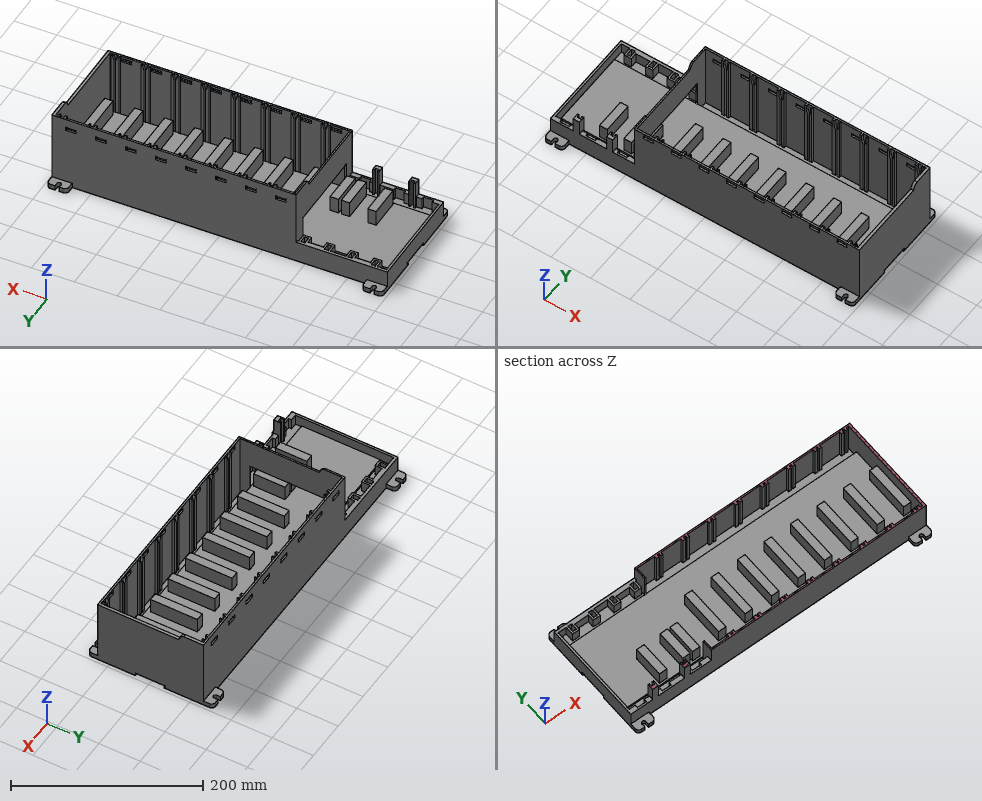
import cadquery as cq

LENGTH = 392.0
BODY_WIDTH = 128.5
HALF_WIDTH = BODY_WIDTH / 2
LOW_HEIGHT = 25.0
FRONT_HEIGHT = 81.5
BACK_HEIGHT = 89.0
TALL_START = 106.5

LOW_FLOOR = 11.8
TALL_FLOOR = 1.0
LEFT_WALL = 2.7
RIGHT_WALL = 3.5
TALL_SIDE_WALL = 2.5
DIVIDER = 2.0
LOW_BACK_WALL = 3.5
LOW_FRONT_WALL = 6.0

BOARD_TOP = 14.5
BOARD_START = 4.0
BOARD_END = 387.2
BOARD_FRONT = -50.0
BOARD_BACK = 46.5

STEP_CREST = 40.5
STEP_FOOT = 34.0
STEP_BULGE = 0.98

OPENING_BACK = 48.0
OPENING_TOP = 46.2

CONNECTOR_TOP = 33.0
CONNECTOR_WIDTH = 9.8
MODULE_COUNT = 8
MODULE_SPAN = 245.5
MODULE_PITCH = MODULE_SPAN / (MODULE_COUNT - 1)
MODULE_START = 131.3
MODULE_CONNECTOR_FRONT = -45.5
MODULE_CONNECTOR_BACK = 11.5
LOW_CONNECTOR_STARTS = (51.0, 82.0, 95.0)
LOW_CONNECTOR_FRONT = -48.0
LOW_CONNECTOR_BACK = -9.8

GUIDE_DEPTH = 3.0
LEFT_GUIDE_WIDTH = 4.0
LEFT_GUIDE_TIP = 2.5
GUIDE_PAIR_WIDTH = 9.0
RIGHT_GUIDE_WIDTH = 3.0
RIGHT_GUIDE_TIP = 1.5
LEAD_IN_BOTTOM = 75.5
LEAD_IN_TOP = 80.7
LATCH_OFFSET = -13.0
LATCH_LENGTH = 12.0
LATCH_BOTTOM = 74.5
LATCH_TOP = 78.5

HOOK_COUNT = 4
HOOK_START = 13.5
HOOK_PITCH = 27.5
HOOK_WIDTH = 9.5
HOOK_FRONT = 50.0
HOOK_WALL = 2.5
THICK_WALL_FACE = 58.5

POST_STARTS = (29.0, 71.5)
POST_WIDTH = 8.0
POST_TOP = 44.5
POST_BACK = -56.0
POST_GROOVE_WIDTH = 4.0
POST_GROOVE_DEPTH = 3.5
RECESS_STARTS = (10.5, 43.5, 83.5)
RECESS_LENGTH = 11.8
RECESS_DEPTH = 3.5

TOTAL_WIDTH = 152.0
TAB_LENGTH = 24.0
TAB_HEIGHT = 6.0
TAB_ROUND = 4.7
TAB_SLOT_WIDTH = 4.7
TAB_SLOT_DEPTH = 7.0
TAB_SLOT_CENTRE = 11.8

RAIL_FRONT = -18.5
RAIL_BACK = 17.5
RAIL_DEPTH = 3.5
RAIL_LIP_WIDTH = 1.5
RAIL_LIP_HEIGHT = 1.0


def box(x0, x1, y0, y1, z0, z1):
    """Box between two opposite corners."""
    return cq.Workplane("XY").box(x1 - x0, y1 - y0, z1 - z0, centered=False).translate((x0, y0, z0))


def low_bay():
    """Open tray on the left, with the floor left solid."""
    outer = box(0, TALL_START, -HALF_WIDTH, HALF_WIDTH, 0, LOW_HEIGHT)
    cavity = box(
        LEFT_WALL, TALL_START,
        -HALF_WIDTH + LOW_FRONT_WALL, HALF_WIDTH - LOW_BACK_WALL,
        LOW_FLOOR, LOW_HEIGHT,
    )
    return outer.cut(cavity)


def tall_bay():
    """Deep tray on the right, whose end walls step down toward the front."""
    bulge_point = (
        (STEP_CREST + STEP_FOOT) / 2 - STEP_BULGE,
        (BACK_HEIGHT + FRONT_HEIGHT) / 2 + STEP_BULGE,
    )
    outer = (
        cq.Workplane("YZ", origin=(TALL_START, 0, 0))
        .moveTo(-HALF_WIDTH, 0)
        .lineTo(HALF_WIDTH, 0)
        .lineTo(HALF_WIDTH, BACK_HEIGHT)
        .lineTo(STEP_CREST, BACK_HEIGHT)
        .threePointArc(bulge_point, (STEP_FOOT, FRONT_HEIGHT))
        .lineTo(-HALF_WIDTH, FRONT_HEIGHT)
        .close()
        .extrude(LENGTH - TALL_START)
    )
    inner_half = HALF_WIDTH - TALL_SIDE_WALL
    cavity = box(
        TALL_START + DIVIDER, LENGTH - RIGHT_WALL, -inner_half, inner_half, TALL_FLOOR, BACK_HEIGHT
    )
    opening = box(
        TALL_START, TALL_START + DIVIDER, BOARD_FRONT, OPENING_BACK, BOARD_TOP, OPENING_TOP
    )
    return outer.cut(cavity).cut(opening)


def board():
    """Raised board with the connectors of both bays."""
    plate = box(BOARD_START, BOARD_END, BOARD_FRONT, BOARD_BACK, TALL_FLOOR, BOARD_TOP)
    for start in LOW_CONNECTOR_STARTS:
        plate = plate.union(box(
            start, start + CONNECTOR_WIDTH,
            LOW_CONNECTOR_FRONT, LOW_CONNECTOR_BACK, BOARD_TOP, CONNECTOR_TOP,
        ))
    for start in module_starts():
        plate = plate.union(box(
            start, start + CONNECTOR_WIDTH,
            MODULE_CONNECTOR_FRONT, MODULE_CONNECTOR_BACK, BOARD_TOP, CONNECTOR_TOP,
        ))
    return plate


def module_starts():
    return [MODULE_START + i * MODULE_PITCH for i in range(MODULE_COUNT)]


def guide(outer_x, inner_x, tip_x, y0, top):
    """Wall guide whose inner side steps back to tip_x above a slanted lead-in."""
    return (
        cq.Workplane("XZ", origin=(0, y0, 0))
        .polyline([
            (outer_x, TALL_FLOOR),
            (inner_x, TALL_FLOOR),
            (inner_x, LEAD_IN_BOTTOM),
            (tip_x, LEAD_IN_TOP),
            (tip_x, top),
            (outer_x, top),
        ])
        .close()
        .extrude(-GUIDE_DEPTH)
    )


def guide_pair(start, y0, top):
    """Two guides that form a groove with a funnel-shaped mouth."""
    end = start + GUIDE_PAIR_WIDTH
    left = guide(start, start + LEFT_GUIDE_WIDTH, start + LEFT_GUIDE_TIP, y0, top)
    right = guide(end, end - RIGHT_GUIDE_WIDTH, end - RIGHT_GUIDE_TIP, y0, top)
    return left.union(right)


def hook(start):
    """Hollow hook standing on the floor against the back wall."""
    wall_face = HALF_WIDTH - LOW_BACK_WALL
    shell = box(start, start + HOOK_WIDTH, HOOK_FRONT, wall_face, LOW_FLOOR, LOW_HEIGHT)
    hollow = box(
        start + HOOK_WALL, start + HOOK_WIDTH - HOOK_WALL,
        HOOK_FRONT + HOOK_WALL, wall_face, LOW_FLOOR, LOW_HEIGHT,
    )
    return shell.cut(hollow)


def post(start):
    """Solid post on the front wall."""
    return box(start, start + POST_WIDTH, -HALF_WIDTH, POST_BACK, LOW_FLOOR, POST_TOP)


def post_groove(start):
    """Groove down a post's inner face from its top to the floor."""
    centre = start + POST_WIDTH / 2
    return box(
        centre - POST_GROOVE_WIDTH / 2, centre + POST_GROOVE_WIDTH / 2,
        POST_BACK - POST_GROOVE_DEPTH, POST_BACK, LOW_FLOOR, POST_TOP,
    )


def back_tab(start):
    """Mounting tab on the back wall with an open-ended screw slot."""
    edge = TOTAL_WIDTH / 2
    tab = box(start, start + TAB_LENGTH, HALF_WIDTH, edge, 0, TAB_HEIGHT)
    tab = tab.edges("|Z and >Y").fillet(TAB_ROUND)
    centre = start + TAB_SLOT_CENTRE
    radius = TAB_SLOT_WIDTH / 2
    round_centre = edge - TAB_SLOT_DEPTH + radius
    slot = box(centre - radius, centre + radius, round_centre, edge, 0, TAB_HEIGHT)
    slot_end = cq.Workplane("XY").center(centre, round_centre).circle(radius).extrude(TAB_HEIGHT)
    return tab.cut(slot).cut(slot_end)


def rail_groove():
    """Groove through the whole length, with a small lip under its back side."""
    groove = box(0, LENGTH, RAIL_FRONT, RAIL_BACK, 0, RAIL_DEPTH)
    lip = box(0, LENGTH, RAIL_BACK - RAIL_LIP_WIDTH, RAIL_BACK, 0, RAIL_LIP_HEIGHT)
    return groove.cut(lip)


result = low_bay().union(tall_bay()).union(board())

hook_starts = [HOOK_START + i * HOOK_PITCH for i in range(HOOK_COUNT)]
for first, second in (hook_starts[:2], hook_starts[2:]):
    result = result.union(box(
        first + HOOK_WIDTH, second, THICK_WALL_FACE, HALF_WIDTH, LOW_FLOOR, LOW_HEIGHT
    ))
for start in hook_starts:
    result = result.union(hook(start))

recess_back = -HALF_WIDTH + LOW_FRONT_WALL
for start in RECESS_STARTS:
    result = result.cut(box(
        start, start + RECESS_LENGTH, recess_back - RECESS_DEPTH, recess_back, LOW_FLOOR, LOW_HEIGHT
    ))
for start in POST_STARTS:
    result = result.union(post(start)).cut(post_groove(start))

inner_face = HALF_WIDTH - TALL_SIDE_WALL
for start in module_starts():
    result = result.union(guide_pair(start, -inner_face, FRONT_HEIGHT))
    result = result.union(guide_pair(start, inner_face - GUIDE_DEPTH, BACK_HEIGHT))
    latch = start + LATCH_OFFSET
    result = result.cut(box(
        latch, latch + LATCH_LENGTH, -HALF_WIDTH, HALF_WIDTH, LATCH_BOTTOM, LATCH_TOP
    ))

for start in (0, LENGTH - TAB_LENGTH):
    tab = back_tab(start)
    result = result.union(tab).union(tab.mirror("XZ"))

result = result.cut(rail_groove())